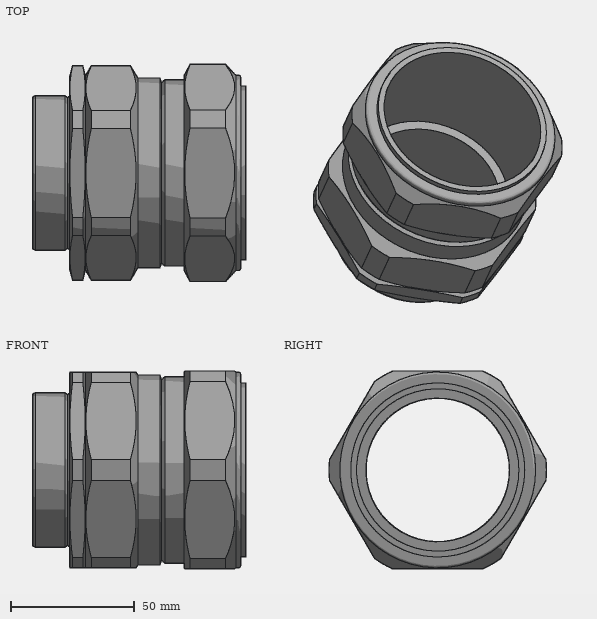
import cadquery as cq
import math


bore_radius = 28.9
bore_mouth_chamfer = 0.3
counterbore_start = 36.9
counterbore_radius = 32.8

thread_radius = 31.3
thread_chamfer_length = 1.1
thread_tip_radius = 30.7
thread_end = 13.2
relief_start = 14.2
relief_radius = 30.4

hex_flat_radius = 39.6
hex_corner_radius = 43.45
bevel_radius = 39.2
locknut_start = 15.0
locknut_front_corner = 16.2
locknut_back_corner = 20.3
locknut_end = 21.4
body_front_corner = 23.75
body_back_corner = 39.6
body_end = 42.6

body_collar_radius = 38.4
body_collar_end = 51.5
groove_radius = 36.6
groove_station = 52.2
cap_collar_start = 53.5
cap_collar_radius = 37.7

cap_flat_radius = 40.0
cap_corner_radius = 44.0
cap_start = 61.3
cap_front_corner = 63.7
cap_back_corner = 78.0
cap_end = 82.15
flange_radius = 39.6
flange_end = 84.2
flange_fillet = 1.0
lip_radius = 35.2
total_length = 86.3


def turned(outline):
    """Solid of revolution about X from (station, radius) points."""
    points = [(outline[0][0], 0)] + outline + [(outline[-1][0], 0)]
    return cq.Workplane("XY").polyline(points).close().revolve(360, (0, 0, 0), (1, 0, 0))


def hex_nut(flat_radius, outline):
    """Hexagon along X with flats on +Z and -Z, its corners turned to the outline."""
    start = outline[0][0]
    length = outline[-1][0] - start
    across_corners = 2 * flat_radius / math.cos(math.radians(30))
    prism = cq.Workplane("YZ", origin=(start, 0, 0)).polygon(6, across_corners).extrude(length)
    return prism.intersect(turned(outline))


def cylinder(radius, start, end):
    return cq.Workplane("YZ", origin=(start, 0, 0)).circle(radius).extrude(end - start)


thread = turned([
    (0, thread_tip_radius),
    (thread_chamfer_length, thread_radius),
    (thread_end, thread_radius),
    (relief_start, relief_radius),
    (locknut_start, thread_radius),
])

locknut = hex_nut(hex_flat_radius, [
    (locknut_start, bevel_radius),
    (locknut_front_corner, hex_corner_radius),
    (locknut_back_corner, hex_corner_radius),
    (locknut_end, bevel_radius),
])

body_nut = hex_nut(hex_flat_radius, [
    (locknut_end, bevel_radius),
    (body_front_corner, hex_corner_radius),
    (body_back_corner, hex_corner_radius),
    (body_end, body_collar_radius),
])

collars = turned([
    (body_end, body_collar_radius),
    (body_collar_end, body_collar_radius),
    (groove_station, groove_radius),
    (cap_collar_start, cap_collar_radius),
    (cap_start, cap_collar_radius),
])

cap_nut = hex_nut(cap_flat_radius, [
    (cap_start, flange_radius),
    (cap_front_corner, cap_corner_radius),
    (cap_back_corner, cap_corner_radius),
    (cap_end, flange_radius),
])

flange = cylinder(flange_radius, cap_end, flange_end).faces(">X").edges().fillet(flange_fillet)
lip = cylinder(lip_radius, flange_end, total_length)

result = thread
for section in (locknut, body_nut, collars, cap_nut, flange, lip):
    result = result.union(section)

bore = turned([
    (0, bore_radius + bore_mouth_chamfer),
    (bore_mouth_chamfer, bore_radius),
    (counterbore_start, bore_radius),
    (counterbore_start, counterbore_radius),
    (total_length, counterbore_radius),
])

result = result.cut(bore)